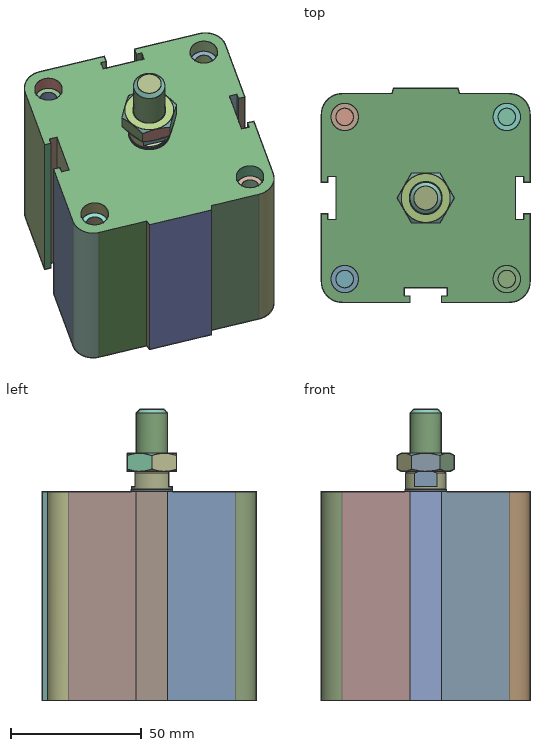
import cadquery as cq
import math


total_height = 111.5
housing_side = 80.0
housing_height = 80.0
corner_radius = 8.0
half_side = housing_side / 2

pad_height = 2.0
pad_base_width = 25.9
pad_top_width = 24.8

slot_neck_width = 12.0
slot_inner_width = 16.3
slot_lip = 2.6
slot_depth = 5.6
slot_angles = (-90, 0, 90)

mount_spacing = 62.0
mount_diameter = 6.7
counterbore_diameter = 10.5
counterbore_depth = 6.5
mount_depth = 14.5

shoulder_diameter = 15.6
shoulder_height = 7.7
shoulder_chamfer = 0.7
collar_diameter = 16.0
collar_height = 0.7
collar_taper_height = 0.3
flat_distance = 13.0
flat_bottom = 1.9
stud_diameter = 12.0
stud_chamfer = 1.5

nut_width = 19.0
nut_height = 7.0
nut_bevel_diameter = 18.7
nut_bevel_angle = 30.0
nut_countersink_diameter = 12.6


def make_pad():
    """Ridge with a trapezoid section on the +Y side, over the full height."""
    base_y = half_side
    top_y = half_side + pad_height
    return (
        cq.Workplane("XY")
        .polyline([
            (-pad_base_width / 2, base_y),
            (-pad_top_width / 2, top_y),
            (pad_top_width / 2, top_y),
            (pad_base_width / 2, base_y),
        ])
        .close()
        .extrude(housing_height)
    )


def make_slot(angle):
    """T-slot cutter for the -Y side, turned about Z by the given angle."""
    neck = cq.Workplane("XY").box(
        slot_neck_width, slot_depth, housing_height, centered=(True, False, False)
    )
    inner = (
        cq.Workplane("XY")
        .box(slot_inner_width, slot_depth - slot_lip, housing_height, centered=(True, False, False))
        .translate((0, slot_lip, 0))
    )
    return (
        neck.union(inner)
        .translate((0, -half_side, 0))
        .rotate((0, 0, 0), (0, 0, 1), angle)
    )


def make_housing():
    body = (
        cq.Workplane("XY")
        .box(housing_side, housing_side, housing_height, centered=(True, True, False))
        .edges("|Z")
        .fillet(corner_radius)
        .union(make_pad())
    )
    for angle in slot_angles:
        body = body.cut(make_slot(angle))
    return (
        body.faces(">Z")
        .workplane(origin=(0, 0, housing_height))
        .rect(mount_spacing, mount_spacing, forConstruction=True)
        .vertices()
        .cboreHole(mount_diameter, counterbore_diameter, counterbore_depth, mount_depth)
    )


def make_rod():
    """Rod standing on the housing: collar, shoulder with two flats, then a stud."""
    shoulder = (
        cq.Workplane("XY")
        .circle(shoulder_diameter / 2)
        .extrude(shoulder_height)
        .faces(">Z")
        .chamfer(shoulder_chamfer)
    )
    flat_cut_depth = (shoulder_diameter - flat_distance) / 2
    for side in (-1, 1):
        flat_cut = (
            cq.Workplane("XY")
            .box(
                shoulder_diameter,
                flat_cut_depth,
                shoulder_height - flat_bottom,
                centered=(True, True, False),
            )
            .translate((0, side * (flat_distance + flat_cut_depth) / 2, flat_bottom))
        )
        shoulder = shoulder.cut(flat_cut)

    collar = (
        cq.Workplane("XZ")
        .polyline([
            (0, 0),
            (collar_diameter / 2, 0),
            (collar_diameter / 2, collar_height),
            (shoulder_diameter / 2, collar_height + collar_taper_height),
            (0, collar_height + collar_taper_height),
        ])
        .close()
        .revolve(360, (0, 0, 0), (0, 1, 0))
    )

    stud = (
        cq.Workplane("XY")
        .circle(stud_diameter / 2)
        .extrude(total_height - housing_height)
        .faces(">Z")
        .chamfer(stud_chamfer)
    )
    return shoulder.union(collar).union(stud).translate((0, 0, housing_height))


def make_nut():
    """Hexagon nut resting on the shoulder, corners of the hexagon along X."""
    corner_diameter = nut_width / math.cos(math.pi / 6)
    corner_reach = corner_diameter / 2
    bevel_radius = nut_bevel_diameter / 2
    bevel_drop = (corner_reach - bevel_radius) * math.tan(math.radians(nut_bevel_angle))
    hexagon = cq.Workplane("XY").polygon(6, corner_diameter).extrude(nut_height)

    envelope = (
        cq.Workplane("XZ")
        .polyline([
            (0, 0),
            (bevel_radius, 0),
            (corner_reach, bevel_drop),
            (corner_reach, nut_height - bevel_drop),
            (bevel_radius, nut_height),
            (0, nut_height),
        ])
        .close()
        .revolve(360, (0, 0, 0), (0, 1, 0))
    )

    countersink = (nut_countersink_diameter - stud_diameter) / 2
    nut = (
        hexagon.intersect(envelope)
        .faces(">Z")
        .workplane()
        .hole(stud_diameter)
        .faces("<Z or >Z")
        .edges("%CIRCLE")
        .edges(cq.selectors.RadiusNthSelector(0))
        .chamfer(countersink)
    )
    return nut.translate((0, 0, housing_height + shoulder_height))


housing = make_housing()
rod = make_rod()
nut = make_nut()

result = cq.Compound.makeCompound([housing.val(), rod.val(), nut.val()])